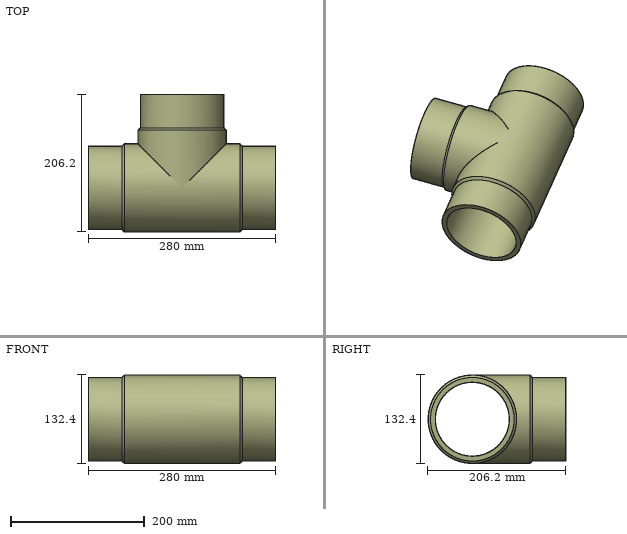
import cadquery as cq

pipe_diameter = 125.0
wall = 7.4
run_length = 280.0
branch_reach = 140.0
end_length = 50.0

pipe_radius = pipe_diameter / 2
bore_radius = pipe_radius - wall
body_step = wall / 2
body_radius = pipe_radius + body_step
body_length = run_length - 2 * end_length
body_reach = branch_reach - end_length

run_plane = cq.Plane(origin=(0, 0, 0), xDir=(0, 1, 0), normal=(1, 0, 0))
branch_plane = cq.Plane(origin=(0, 0, 0), xDir=(1, 0, 0), normal=(0, 1, 0))


def run_cylinder(radius, length):
    """Cylinder along X, centred on the branch axis."""
    return cq.Workplane(run_plane).circle(radius).extrude(length / 2, both=True)


def branch_cylinder(radius, reach):
    """Cylinder along Y, from the run axis out to the given reach."""
    return cq.Workplane(branch_plane).circle(radius).extrude(reach)


def run_outside():
    """Straight run: thick body with chamfered shoulders and two plain ends."""
    body = run_cylinder(body_radius, body_length).edges("%CIRCLE").chamfer(body_step)
    return body.union(run_cylinder(pipe_radius, run_length))


def branch_outside():
    """Side branch: thick body with a chamfered shoulder and one plain end."""
    body = branch_cylinder(body_radius, body_reach).faces(">Y").chamfer(body_step)
    return body.union(branch_cylinder(pipe_radius, branch_reach))


def bores():
    """Open passage through the run and out of the branch."""
    return run_cylinder(bore_radius, run_length).union(branch_cylinder(bore_radius, branch_reach))


result = run_outside().union(branch_outside()).cut(bores())